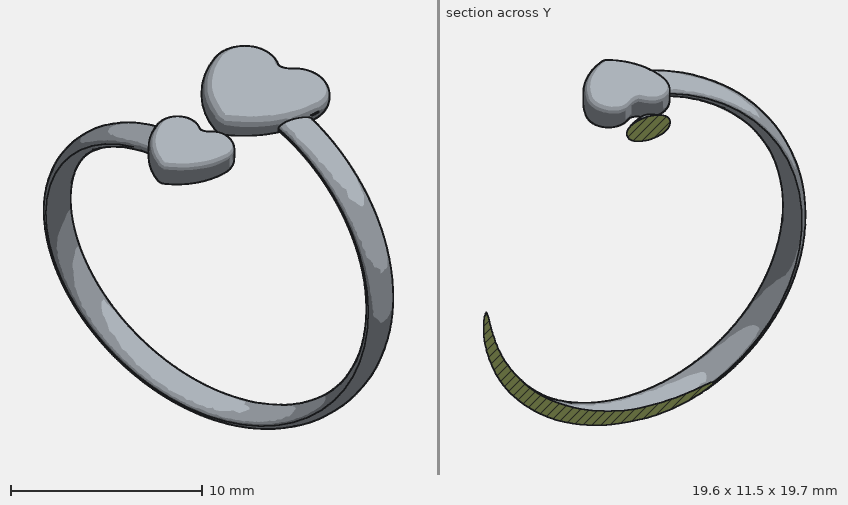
import cadquery as cq
import math

outer_radius = 9.8
band_thickness = 0.99
band_width = 2.0
band_pitch = 6.27
band_half_sweep = 172.0
band_radius = outer_radius - band_thickness / 2

heart_top = 9.92
heart_thickness = 1.58
large_heart_back = 6.31
small_heart_back = -0.89
small_heart_scale = 0.67

lobe_radius = 1.85
lobe_offset = 1.62
notch_radius = 0.6
tip_radius = 0.77
heart_length = 6.39
flank_start_angle = -10.0
large_edge_radius = 0.75


def polar(center, radius, degrees):
    angle = math.radians(degrees)
    return (center[0] + radius * math.cos(angle), center[1] + radius * math.sin(angle))


def mirrored(point):
    return (-point[0], point[1])


def make_heart(back, scale):
    """Rounded heart with its lobes touching Y = back and its tip toward -Y."""
    lobe = (lobe_offset * scale, back - lobe_radius * scale)
    notch = notch_radius * scale
    radius = lobe_radius * scale
    tip_round = tip_radius * scale

    notch_center = (0, lobe[1] + math.sqrt((radius + notch) ** 2 - lobe[0] ** 2))
    notch_angle = math.degrees(math.atan2(notch_center[1] - lobe[1], -lobe[0]))
    notch_end = polar(lobe, radius, notch_angle)
    notch_middle = (0, notch_center[1] - notch)
    lobe_middle = polar(lobe, radius, (notch_angle + flank_start_angle) / 2)
    flank_start = polar(lobe, radius, flank_start_angle)

    tip_center = (0, back - heart_length * scale + tip_round)
    normal = polar((0, 0), 1, flank_start_angle)
    inner_start = polar(lobe, radius - tip_round, flank_start_angle)
    chord = (inner_start[0] - tip_center[0], inner_start[1] - tip_center[1])
    inner_radius = (chord[0] ** 2 + chord[1] ** 2) / (2 * (chord[0] * normal[0] + chord[1] * normal[1]))
    flank_radius = inner_radius + tip_round
    flank_center = polar(flank_start, -flank_radius, flank_start_angle)
    end_angle = math.degrees(math.atan2(tip_center[1] - flank_center[1], tip_center[0] - flank_center[0]))
    flank_middle = polar(flank_center, flank_radius, (flank_start_angle + end_angle) / 2)
    flank_end = polar(tip_center, tip_round, end_angle)
    tip = (0, tip_center[1] - tip_round)

    outline = (
        cq.Workplane("XY", origin=(0, 0, heart_top - heart_thickness))
        .moveTo(*mirrored(notch_end))
        .threePointArc(notch_middle, notch_end)
        .threePointArc(lobe_middle, flank_start)
        .threePointArc(flank_middle, flank_end)
        .threePointArc(tip, mirrored(flank_end))
        .threePointArc(mirrored(flank_middle), mirrored(flank_start))
        .threePointArc(mirrored(lobe_middle), mirrored(notch_end))
        .close()
    )
    return outline.extrude(heart_thickness).faces("|Z").edges().fillet(large_edge_radius * scale)


def make_band():
    """Elliptical section swept along a helix, both ends buried in the hearts."""
    length = band_pitch * 2 * band_half_sweep / 360
    path = cq.Workplane(cq.Wire.makeHelix(band_pitch, length, band_radius, lefthand=True))
    section = (
        cq.Workplane("XZ", origin=(band_radius, 0, 0))
        .moveTo(0, band_width / 2)
        .ellipseArc(band_thickness / 2, band_width / 2, 90, 270, startAtCurrent=True)
        .ellipseArc(band_thickness / 2, band_width / 2, 270, 90, startAtCurrent=True)
        .close()
    )
    band = section.sweep(path, isFrenet=True)
    band = band.rotate((0, 0, 0), (1, 0, 0), -90)
    band = band.rotate((0, 0, 0), (0, 1, 0), band_half_sweep + 90)
    return band.translate((0, -length / 2, 0))


large_heart = make_heart(large_heart_back, 1.0)
small_heart = make_heart(small_heart_back, small_heart_scale)
result = make_band().union(large_heart).union(small_heart)